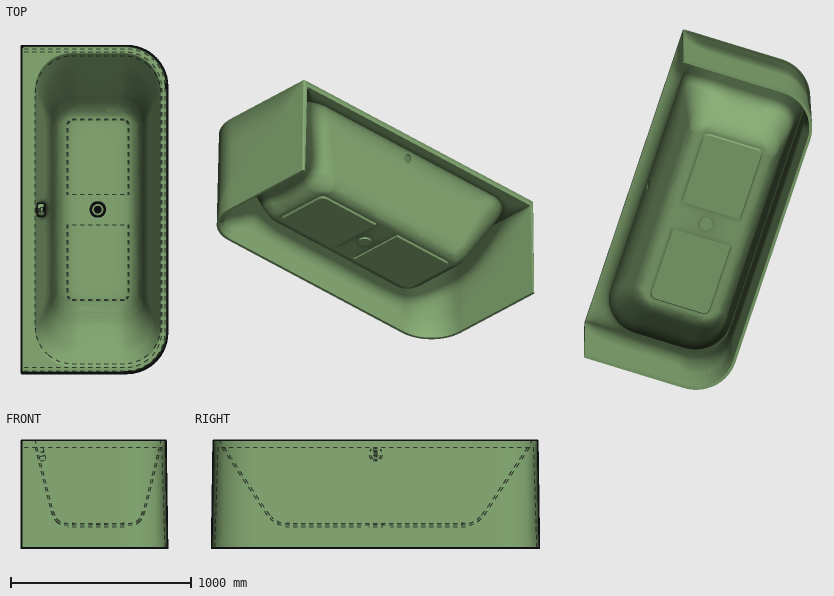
import cadquery as cq
LENGTH = 1821.0
WIDTH = 812.0
HEIGHT = 600.0

SKIRT_CORNER_RADIUS = 230.0
SKIRT_DRAFT = 10.0
SKIRT_FOOT = 16.0
SKIRT_HEAD = 25.0
DECK_THICKNESS = 38.0
EDGE_FILLET = 7.0
CAVITY_OVERRUN = 18.0

BASIN_X = 425.0
RIM_OUTLINE = (700.0, 1738.0, 208.0)
SEAM_OUTLINE = (508.0, 1228.0, 117.0)
FLOOR_OUTLINE = (357.0, 1027.0, 16.0)
RIM_FILLET = 5.0
BOWL_HEIGHT = 80.0
BOWL_STEPS = 4
WALL = 7.0
FLOOR_THICKNESS = 10.0
UNDERSIDE_Z = 130.0
FLOOR_Z = UNDERSIDE_Z + FLOOR_THICKNESS

PAD_DEPTH = 11.0
PAD_LENGTH = 1009.0
PAD_WIDTH = 346.0
PAD_RADIUS = 36.0
CHANNEL_WIDTH = 168.0
PAD_TAPER = 30.0

DISC_DIAMETER = 73.0
DISH_DIAMETER = 104.0
DISH_BOTTOM_DIAMETER = 82.0
DISH_DEPTH = 5.0
PIN_HEAD_DIAMETER = 33.0
PIN_HEAD_HEIGHT = 4.0
PIN_DIAMETER = 24.0
DRAIN_DIMPLE_DIAMETER = 13.0
DRAIN_BOTTOM_Z = UNDERSIDE_Z - PAD_DEPTH
DRAIN_TOP_Z = FLOOR_Z - DISH_DEPTH

OVERFLOW_Z = 519.0
OVERFLOW_HOLE_DIAMETER = 53.0
CAP_DIAMETER = 73.0
CAP_THICKNESS = 33.0
CAP_FILLET = 7.0
OVERFLOW_DIMPLE_DIAMETER = 15.0
DIMPLE_DEPTH = 5.0


def skirt_outline(back, front, half_length, radius, z):
    """Wire of a rectangle whose two +X corners are round."""
    outline = (
        cq.Workplane("XY", origin=(0, 0, z))
        .moveTo(back, -half_length)
        .lineTo(front - radius, -half_length)
        .radiusArc((front, radius - half_length), -radius)
        .lineTo(front, half_length - radius)
        .radiusArc((front - radius, half_length), -radius)
        .lineTo(back, half_length)
        .close()
    )
    return outline.val()


def basin_outline(outline, offset, z):
    """Wire of a basin outline enlarged all round by the offset."""
    size_x, size_y, radius = outline
    sheet = cq.Face.makePlane(size_y + 2 * offset, size_x + 2 * offset, (BASIN_X, 0, z))
    return sheet.fillet2D(radius + offset, sheet.Vertices()).outerWire()


def loft(wires, ruled=True):
    return cq.Workplane(cq.Solid.makeLoft(wires, ruled))


def make_shell():
    """Deck and skirt, open towards -X and at the bottom."""
    shell = loft([
        skirt_outline(0, WIDTH, LENGTH / 2, SKIRT_CORNER_RADIUS, 0),
        skirt_outline(0, WIDTH - SKIRT_DRAFT, LENGTH / 2 - SKIRT_DRAFT, SKIRT_CORNER_RADIUS, HEIGHT),
    ])
    upright_edges = shell.faces("<X").edges("<Y or >Y").vals()
    top_edges = shell.faces(">Z").edges().vals()
    shell = shell.newObject(upright_edges + top_edges).fillet(EDGE_FILLET)

    ceiling_z = HEIGHT - DECK_THICKNESS
    head = SKIRT_HEAD + SKIRT_DRAFT * ceiling_z / HEIGHT
    foot_radius = SKIRT_CORNER_RADIUS - SKIRT_FOOT
    head_radius = SKIRT_CORNER_RADIUS - SKIRT_HEAD
    cavity = loft([
        skirt_outline(-CAVITY_OVERRUN, WIDTH - SKIRT_FOOT, LENGTH / 2 - SKIRT_FOOT, foot_radius, 0),
        skirt_outline(-CAVITY_OVERRUN, WIDTH - head, LENGTH / 2 - head, head_radius, ceiling_z),
    ])
    return shell.cut(cavity)


def bowl_outline(t, wall_height):
    """Outline part way up the bowl, from the floor (t = 0) to the seam (t = 1).

    Every size follows a quadratic curve that leaves the floor level and meets the wall at its slope.
    """
    sizes = []
    for floor, seam, rim in zip(FLOOR_OUTLINE, SEAM_OUTLINE, RIM_OUTLINE):
        control = seam - (rim - seam) * BOWL_HEIGHT / wall_height
        sizes.append((1 - t) ** 2 * floor + 2 * t * (1 - t) * control + t ** 2 * seam)
    return sizes


def make_basin_form(offset, bottom_z, top_z):
    """Solid basin form, its outlines enlarged by the offset."""
    wall_height = top_z - bottom_z - BOWL_HEIGHT
    bowl_wires = []
    for step in range(BOWL_STEPS + 1):
        t = step / BOWL_STEPS
        z = bottom_z + BOWL_HEIGHT * t ** 2
        bowl_wires.append(basin_outline(bowl_outline(t, wall_height), offset, z))
    bowl = loft(bowl_wires, ruled=False)
    walls = loft([bowl_wires[-1], basin_outline(RIM_OUTLINE, offset, top_z)])
    return walls.union(bowl)


def make_pads():
    pads = (
        cq.Workplane("XY", origin=(BASIN_X, 0, UNDERSIDE_Z))
        .sketch().rect(PAD_WIDTH, PAD_LENGTH).vertices().fillet(PAD_RADIUS).finalize()
        .extrude(-PAD_DEPTH, taper=PAD_TAPER)
    )
    channel = cq.Workplane("XY", origin=(BASIN_X, 0, UNDERSIDE_Z - PAD_DEPTH / 2)).box(
        PAD_WIDTH, CHANNEL_WIDTH, PAD_DEPTH
    )
    return pads.cut(channel)


def make_drain_cutter():
    """Dished recess in the floor around the disc hole."""
    dish_run = (DISH_DIAMETER - DISH_BOTTOM_DIAMETER) / 2
    dish_radius = (dish_run ** 2 + DISH_DEPTH ** 2) / (2 * DISH_DEPTH)
    hole_radius = DISC_DIAMETER / 2
    return (
        cq.Workplane("XZ", origin=(BASIN_X, 0, 0))
        .moveTo(0, FLOOR_Z)
        .lineTo(DISH_DIAMETER / 2, FLOOR_Z)
        .radiusArc((DISH_BOTTOM_DIAMETER / 2, DRAIN_TOP_Z), -dish_radius)
        .lineTo(hole_radius, DRAIN_TOP_Z)
        .lineTo(hole_radius, DRAIN_BOTTOM_Z)
        .lineTo(0, DRAIN_BOTTOM_Z)
        .close()
        .revolve(360, (0, 0, 0), (0, 1, 0))
    )


def overflow_plane():
    """Plane on the inner -X wall, its normal pointing into the basin."""
    run = (RIM_OUTLINE[0] - SEAM_OUTLINE[0]) / 2
    rise = HEIGHT - FLOOR_Z - BOWL_HEIGHT
    wall_x = BASIN_X - RIM_OUTLINE[0] / 2 + run * (HEIGHT - OVERFLOW_Z) / rise
    return cq.Plane(origin=(wall_x, 0, OVERFLOW_Z), xDir=(0, 1, 0), normal=(rise, 0, run))


def round_rim(tub):
    """Round the edge where the basin walls meet the deck."""
    margin = 18.0
    half_band = 2.0
    rim_box = cq.selectors.BoxSelector(
        (margin, margin - LENGTH / 2, HEIGHT - half_band),
        (WIDTH - margin, LENGTH / 2 - margin, HEIGHT + half_band),
    )
    return tub.faces(">Z").edges(rim_box).fillet(RIM_FILLET)


def make_tub():
    tub = make_shell()
    tub = tub.union(make_basin_form(WALL, UNDERSIDE_Z, HEIGHT - EDGE_FILLET))
    tub = tub.union(make_pads())
    tub = tub.cut(make_basin_form(0, FLOOR_Z, HEIGHT))
    tub = round_rim(tub)
    tub = tub.cut(make_drain_cutter())
    overflow_hole = (
        cq.Workplane(overflow_plane()).circle(OVERFLOW_HOLE_DIAMETER / 2).extrude(2 * WALL, both=True)
    )
    return tub.cut(overflow_hole)


def make_drain_disc():
    disc = (
        cq.Workplane("XY", origin=(BASIN_X, 0, DRAIN_BOTTOM_Z))
        .circle(DISC_DIAMETER / 2)
        .extrude(DRAIN_TOP_Z - DRAIN_BOTTOM_Z)
    )
    return disc.faces(">Z").workplane().hole(PIN_DIAMETER)


def make_drain_pin():
    """Pin through the disc, its wider head resting on top."""
    pin = (
        cq.Workplane("XY", origin=(BASIN_X, 0, DRAIN_BOTTOM_Z))
        .circle(PIN_DIAMETER / 2)
        .extrude(DRAIN_TOP_Z - DRAIN_BOTTOM_Z)
    )
    pin = pin.faces(">Z").workplane().circle(PIN_HEAD_DIAMETER / 2).extrude(PIN_HEAD_HEIGHT)
    return pin.faces(">Z").workplane().hole(DRAIN_DIMPLE_DIAMETER, DIMPLE_DEPTH)


def make_overflow_cap():
    cap = cq.Workplane(overflow_plane()).circle(CAP_DIAMETER / 2).extrude(CAP_THICKNESS)
    cap = cap.faces(">X").edges().fillet(CAP_FILLET)
    return cap.faces(">X").workplane(origin=overflow_plane().origin).hole(PIN_DIAMETER)


def make_overflow_pin():
    """Pin filling the hole in the cap, dimpled at its inner end."""
    pin = cq.Workplane(overflow_plane()).circle(PIN_DIAMETER / 2).extrude(CAP_THICKNESS)
    dimple = (
        cq.Workplane(overflow_plane())
        .workplane(offset=CAP_THICKNESS - DIMPLE_DEPTH)
        .circle(OVERFLOW_DIMPLE_DIAMETER / 2)
        .extrude(DIMPLE_DEPTH)
    )
    return pin.cut(dimple)


tub = make_tub()
drain_disc = make_drain_disc()
drain_pin = make_drain_pin()
overflow_cap = make_overflow_cap()
overflow_pin = make_overflow_pin()

result = cq.Compound.makeCompound([
    *tub.solids().vals(),
    drain_disc.val(),
    drain_pin.val(),
    overflow_cap.val(),
    overflow_pin.val(),
])